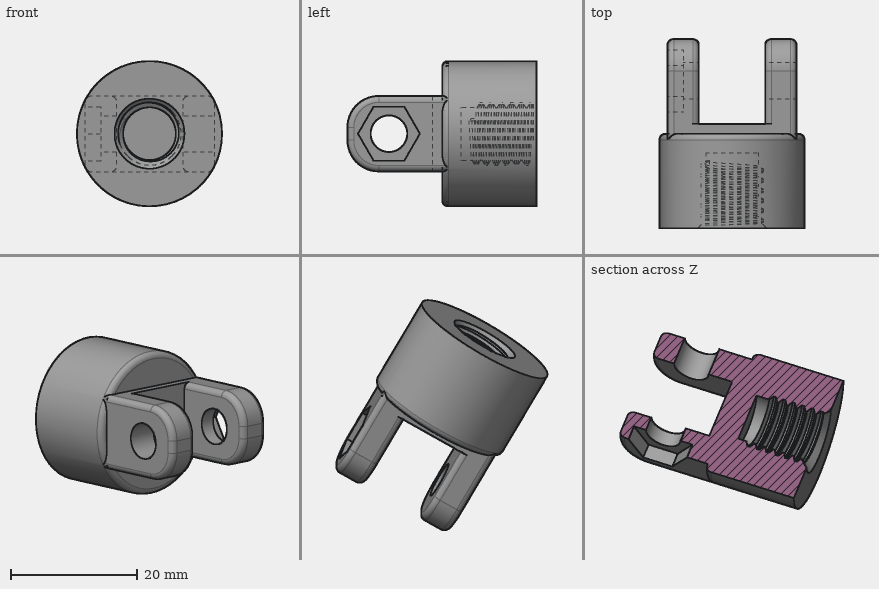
import cadquery as cq
import math

body_diameter = 23.0
body_length = 15.0
round_radius = 1.0

total_length = 30.0
clevis_width = 20.5
clevis_height = 12.0
arm_thickness = 5.0
arm_corner_radius = 5.0
bridge_height = 1.55
arm_start = body_length - round_radius
arm_center_x = (clevis_width - arm_thickness) / 2

pin_diameter = 5.75
pin_y = 23.4
hex_across_flats = 8.5
hex_depth = 2.5

thread_minor_diameter = 8.35
thread_major_diameter = 9.93
thread_pitch = 1.6
thread_turns = 7
thread_start_y = -1.0
thread_start_angle = -150.0
thread_root_flat = thread_pitch / 4
flank_slope = math.tan(math.radians(30))
groove_overlap = 0.05
hole_depth = 12.0
hole_mouth_diameter = 11.1


def make_body():
    """Plain cylinder with a rounded back rim."""
    cylinder = cq.Workplane("XZ").circle(body_diameter / 2).extrude(-body_length)
    return cylinder.faces(">Y").edges().fillet(round_radius)


def make_arm(center_x):
    """Flat lug with rounded end and side edges; its foot is trimmed flush with the body."""
    arm_length = total_length - arm_start
    arm = (
        cq.Workplane("XY")
        .box(arm_thickness, arm_length, clevis_height)
        .translate((center_x, arm_start + arm_length / 2, 0))
    )
    arm = arm.faces(">Y").edges("|X").fillet(arm_corner_radius)
    arm = arm.edges("(not |X) and (not <Y)").fillet(round_radius)
    surround = (
        cq.Workplane("XZ", origin=(0, arm_start, 0))
        .circle(body_diameter)
        .circle(body_diameter / 2)
        .extrude(arm_start - body_length)
    )
    return arm.cut(surround)


def make_bridge():
    """Block between the arms; it also backs the inner arm roundings."""
    length = round_radius + bridge_height
    return (
        cq.Workplane("XY")
        .box(2 * arm_center_x, length, clevis_height)
        .translate((0, arm_start + length / 2, 0))
    )


def make_pin_hole():
    """Pin hole through both arms, with the nut pocket in the outer -X face."""
    outer_face = cq.Workplane("YZ").workplane(offset=-clevis_width / 2).center(pin_y, 0)
    hole = outer_face.circle(pin_diameter / 2).extrude(clevis_width)
    hex_across_corners = hex_across_flats / math.cos(math.radians(30))
    pocket = outer_face.polygon(6, hex_across_corners).extrude(hex_depth)
    return hole.union(pocket)


def make_bore():
    """Plain blind bore at the thread minor diameter."""
    return cq.Workplane("XZ").circle(thread_minor_diameter / 2).extrude(-hole_depth)


def make_mouth():
    """Conical 45 degree lead-in that narrows to the bore."""
    mouth_radius = hole_mouth_diameter / 2
    mouth_depth = mouth_radius - thread_minor_diameter / 2
    profile = (
        cq.Workplane("XY")
        .lineTo(mouth_radius, 0)
        .lineTo(mouth_radius - mouth_depth, mouth_depth)
        .lineTo(0, mouth_depth)
        .close()
    )
    return profile.revolve(360, (0, 0, 0), (0, 1, 0))


def make_thread_groove():
    """Right-handed 60 degree groove, from ahead of the mouth to near the bottom."""
    root_radius = thread_major_diameter / 2
    inner_radius = thread_minor_diameter / 2 - groove_overlap
    root_half = thread_root_flat / 2
    inner_half = root_half + (root_radius - inner_radius) * flank_slope
    helix = cq.Wire.makeHelix(thread_pitch, thread_turns * thread_pitch, root_radius)
    groove = (
        cq.Workplane("XZ")
        .polyline([
            (inner_radius, -inner_half),
            (root_radius, -root_half),
            (root_radius, root_half),
            (inner_radius, inner_half),
        ])
        .close()
        .sweep(cq.Workplane(obj=helix), isFrenet=True)
    )
    groove = groove.rotate((0, 0, 0), (0, 0, 1), thread_start_angle)
    groove = groove.rotate((0, 0, 0), (1, 0, 0), -90)
    return groove.translate((0, thread_start_y, 0))


result = make_body().union(make_bridge())
for side in (-1, 1):
    result = result.union(make_arm(side * arm_center_x))
result = result.cut(make_pin_hole())

result = result.cut(make_bore()).cut(make_thread_groove()).cut(make_mouth())